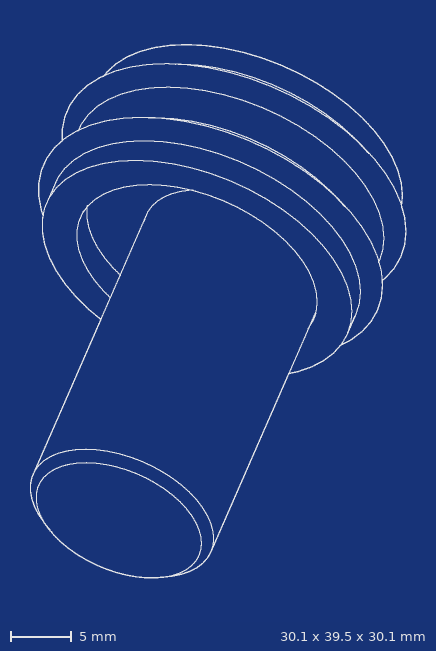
import cadquery as cq

overall_length = 39.5

ring_length = 12.7
ring_diameter = 27.1
rib_diameter = 30.1
rib_width = 2.53
rib_spacing = 5.9
bore_diameter = 21.0

recess_depth = 2.5
shank_diameter = 16.05
shank_projection = overall_length - ring_length
shank_chamfer = 0.8
shank_offset = (bore_diameter - shank_diameter) / 2


def make_ring():
    """Sleeve with two V-shaped ribs around its outside, revolved about Y."""
    outer_radius = ring_diameter / 2
    bore_radius = bore_diameter / 2
    profile = cq.Workplane("XY").moveTo(bore_radius, 0).lineTo(outer_radius, 0)
    for side in (-1, 1):
        peak_y = ring_length / 2 + side * rib_spacing / 2
        profile = (
            profile.lineTo(outer_radius, peak_y - rib_width / 2)
            .lineTo(rib_diameter / 2, peak_y)
            .lineTo(outer_radius, peak_y + rib_width / 2)
        )
    profile = profile.lineTo(outer_radius, ring_length).lineTo(bore_radius, ring_length).close()
    return profile.revolve(360, (0, 0, 0), (0, 1, 0))


def make_eccentric_pin():
    """Round head in the bore with an off-centre shank running forward from it."""
    head = (
        cq.Workplane("XZ", origin=(0, ring_length, 0))
        .circle(bore_diameter / 2)
        .extrude(ring_length - recess_depth)
    )
    shank = (
        cq.Workplane("XZ", origin=(shank_offset, recess_depth, 0))
        .circle(shank_diameter / 2)
        .extrude(recess_depth + shank_projection)
        .faces("<Y")
        .chamfer(shank_chamfer)
    )
    return head.union(shank)


ring = make_ring()
eccentric_pin = make_eccentric_pin()

result = cq.Compound.makeCompound([ring.val(), eccentric_pin.val()])